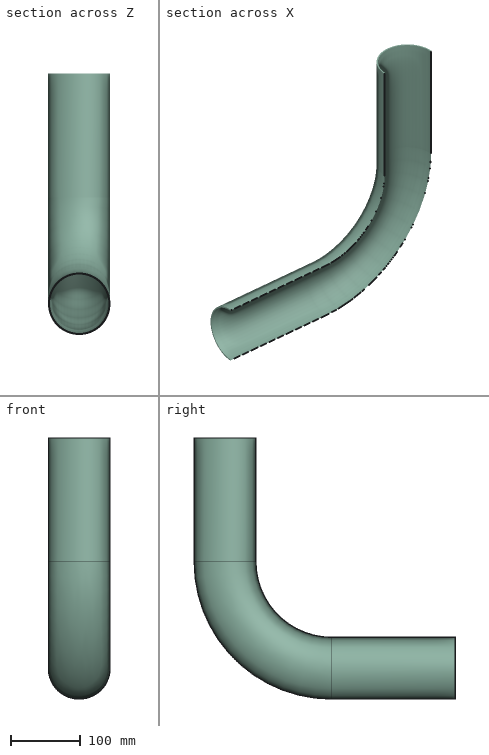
import cadquery as cq
import math

overall_length = 374.5
outer_diameter = 88.8
inner_diameter = 84.5
leg_length = 2 * outer_diameter
bend_radius = overall_length - leg_length - outer_diameter / 2

bend_midpoint = -bend_radius * math.sqrt(0.5)
centreline = (
    cq.Workplane("YZ")
    .moveTo(-bend_radius, leg_length)
    .lineTo(-bend_radius, 0)
    .threePointArc((bend_midpoint, bend_midpoint), (0, -bend_radius))
    .lineTo(leg_length, -bend_radius)
)

result = (
    cq.Workplane("XY", origin=(0, -bend_radius, leg_length))
    .circle(outer_diameter / 2)
    .circle(inner_diameter / 2)
    .sweep(centreline)
)